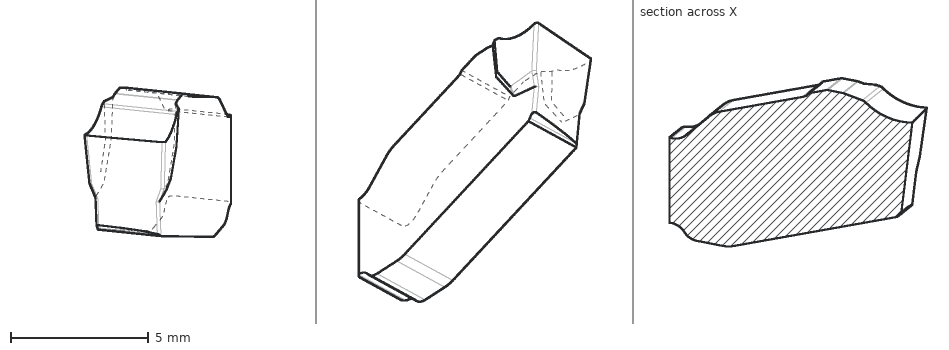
import cadquery as cq
import math


LENGTH = 10.01
HEIGHT = 7.0
SHANK_WIDTH = 2.38
CUTTING_WIDTH = 3.03

SEAT_ANGLE = 20.0
BACK_SLOPE_ANGLE = 45.0
CREST_ANGLE = 10.0
LEAD_ANGLE = 5.0
FRONT_CLEARANCE = 7.0
SIDE_CLEARANCE = 3.0

TIP_Z = 6.41
CHIP_ARC_MID = (0.90, 6.335)
CHIP_ARC_END = (2.03, 6.79)
CHIP_EDGE_MID = (2.10, 6.841)
CREST_FRONT_Y = 2.17
CREST_FLAT_START_Y = 2.97
CREST_FLAT_END_Y = 3.57
CREST_ROUND_RADIUS = 0.20
NOTCH_TOP_Y = 4.36
NOTCH_FOOT_DROP = 0.12
NOTCH_FOOT_Y = 4.45
TOP_SEAT_START_Y = 4.60

REAR_TOP_Z = 3.89
REAR_BOTTOM_Z = 0.51
REAR_FLAT = 0.10
REAR_TOP_RADIUS = 0.85
BACK_SLOPE_TOP_Y = 8.42
BACK_BEND_RADIUS = 1.10
BACK_LAND = 0.03

BOTTOM_FLAT_END_Y = 8.90
BOTTOM_FLAT_START_Y = 7.84
BOTTOM_BEND_RADIUS = 1.25
CHIN_Y = 0.78
LIP_ARC_START = (0.70, 2.59)
LIP_ARC_MID = (0.58, 2.73)
LIP_ARC_END = (0.38, 2.81)

FLARE_TOP = (2.70, 6.96)
FLARE_BEND = (2.51, 5.43)
FLARE_HEEL = (1.55, 4.03)
FLARE_FOOT = (0.39, 3.86)
REAR_FLARE_RUN = 1.5
SLANT_FLARE_RUN = 1.3
LOWER_FLARE_RUN = 2.85
HEEL_RADIUS = 0.12

FRONT_CORNER_RADIUS = 0.11
REAR_CORNER_RADIUS = 0.19

CUTTER_SIZE = 40.0
TOUCHING = 0.001


def sine(angle):
    return math.sin(math.radians(angle))


def cosine(angle):
    return math.cos(math.radians(angle))


def tangent(angle):
    return math.tan(math.radians(angle))


def bend(start, radius, first_angle, last_angle):
    """Middle and end of an arc along which the slope turns between two angles.

    A positive radius has its centre below the outline, a negative one above it.
    """
    points = []
    for angle in ((first_angle + last_angle) / 2, last_angle):
        y = start[0] + radius * (sine(first_angle) - sine(angle))
        z = start[1] + radius * (cosine(angle) - cosine(first_angle))
        points.append((y, z))
    return points


def along_slope(start, angle, y):
    """Point at y on the straight line through start with the given slope angle."""
    return (y, start[1] + (y - start[0]) * tangent(angle))


def side_profile():
    """Closed (y, z) outline of the insert, from the tip along the bottom to the rear and back."""
    flat_start = (BOTTOM_FLAT_START_Y, 0)
    seat_bend_mid, bottom_seat_end = bend(flat_start, -BOTTOM_BEND_RADIUS, 0, -SEAT_ANGLE)
    chin = along_slope(bottom_seat_end, -SEAT_ANGLE, CHIN_Y)
    rear_arc_y = LENGTH - REAR_FLAT
    rear_curve_middle = ((rear_arc_y + BOTTOM_FLAT_END_Y) / 2, REAR_BOTTOM_Z / 2)

    rear_top = (rear_arc_y, REAR_TOP_Z)
    rear_arc_mid, slope_foot = bend(rear_top, -REAR_TOP_RADIUS, 0, -BACK_SLOPE_ANGLE)
    slope_top = along_slope(slope_foot, -BACK_SLOPE_ANGLE, BACK_SLOPE_TOP_Y)
    land_angle = (BACK_SLOPE_ANGLE + SEAT_ANGLE) / 2
    lower_bend_mid, land_rear = bend(slope_top, BACK_BEND_RADIUS, -BACK_SLOPE_ANGLE, -land_angle)
    land_front = along_slope(land_rear, -land_angle, land_rear[0] - BACK_LAND)
    upper_bend_mid, seat_rear = bend(land_front, BACK_BEND_RADIUS, -land_angle, -SEAT_ANGLE)
    seat_front = along_slope(seat_rear, -SEAT_ANGLE, TOP_SEAT_START_Y)

    crest_rear = (CREST_FLAT_END_Y, HEIGHT)
    rear_round_mid, ramp_top = bend(crest_rear, CREST_ROUND_RADIUS, 0, -SEAT_ANGLE)
    notch_top = along_slope(ramp_top, -SEAT_ANGLE, NOTCH_TOP_Y)
    crest_front = (CREST_FLAT_START_Y, HEIGHT)
    front_round_mid, fall_top = bend(crest_front, CREST_ROUND_RADIUS, 0, CREST_ANGLE)
    fall_end = along_slope(fall_top, CREST_ANGLE, CREST_FRONT_Y)

    return (
        cq.Workplane("YZ")
        .moveTo(0, TIP_Z)
        .lineTo(0, LIP_ARC_END[1])
        .lineTo(*LIP_ARC_END)
        .threePointArc(LIP_ARC_MID, LIP_ARC_START)
        .lineTo(*chin)
        .lineTo(*bottom_seat_end)
        .threePointArc(seat_bend_mid, flat_start)
        .lineTo(BOTTOM_FLAT_END_Y, 0)
        .tangentArcPoint(rear_curve_middle, relative=False)
        .tangentArcPoint((rear_arc_y, REAR_BOTTOM_Z), relative=False)
        .lineTo(LENGTH, REAR_BOTTOM_Z)
        .lineTo(LENGTH, REAR_TOP_Z)
        .lineTo(*rear_top)
        .threePointArc(rear_arc_mid, slope_foot)
        .lineTo(*slope_top)
        .threePointArc(lower_bend_mid, land_rear)
        .lineTo(*land_front)
        .threePointArc(upper_bend_mid, seat_rear)
        .lineTo(*seat_front)
        .lineTo(NOTCH_FOOT_Y, notch_top[1] - NOTCH_FOOT_DROP)
        .lineTo(*notch_top)
        .lineTo(*ramp_top)
        .threePointArc(rear_round_mid, crest_rear)
        .lineTo(*crest_front)
        .threePointArc(front_round_mid, fall_top)
        .lineTo(*fall_end)
        .threePointArc(CHIP_EDGE_MID, CHIP_ARC_END)
        .threePointArc(CHIP_ARC_MID, (0, TIP_Z))
        .close()
    )


def cut_beyond(body, origin, outward):
    """Remove everything on the outward side of a plane."""
    plane = cq.Plane(origin=origin, normal=outward)
    cutter = cq.Workplane(plane).rect(CUTTER_SIZE, CUTTER_SIZE).extrude(CUTTER_SIZE)
    return body.cut(cutter)


def cut_flare_face(body, start, end, run):
    """Slope one edge of the +X flare; the outline from start to end lies on the shank side."""
    along_y = end[0] - start[0]
    along_z = end[1] - start[1]
    length = math.hypot(along_y, along_z)
    outward = (run, -along_z / length, along_y / length)
    return cut_beyond(body, (SHANK_WIDTH / 2, start[0], start[1]), outward)


def head_half():
    """The +X half of the cutting head, widening from the shank to the cutting edge."""
    half = side_profile().extrude(CUTTING_WIDTH)
    clearance = tangent(SIDE_CLEARANCE)
    half = cut_beyond(half, (CUTTING_WIDTH / 2, 0, TIP_Z), (1, clearance, -clearance))
    half = cut_flare_face(half, FLARE_TOP, FLARE_BEND, REAR_FLARE_RUN)
    half = cut_flare_face(half, FLARE_BEND, FLARE_HEEL, SLANT_FLARE_RUN)
    half = cut_flare_face(half, FLARE_HEEL, FLARE_FOOT, LOWER_FLARE_RUN)
    heel = cq.Vertex.makeVertex(SHANK_WIDTH / 2, *FLARE_HEEL)
    heel_edge = half.edges().filter(lambda edge: edge.distance(heel) < TOUCHING)
    return heel_edge.fillet(HEEL_RADIUS)


def cut_front(body):
    """Skewed front face, leaning back below the cutting edge."""
    outward = (tangent(LEAD_ANGLE), -1, -tangent(FRONT_CLEARANCE))
    return cut_beyond(body, (-CUTTING_WIDTH / 2, 0, TIP_Z), outward)


def round_front_corners(body):
    """Round the edges running down both sides of the front face."""
    corners = body.faces("<Y").edges("%LINE").filter(lambda edge: edge.Center().z > LIP_ARC_END[1])
    return corners.fillet(FRONT_CORNER_RADIUS)


shank = side_profile().extrude(SHANK_WIDTH / 2, both=True)
shank = shank.faces(">Y").edges("|Z").fillet(REAR_CORNER_RADIUS)
right_half = head_half()
left_half = right_half.mirror("YZ")
insert = cut_front(shank.union(right_half).union(left_half))
result = round_front_corners(insert)